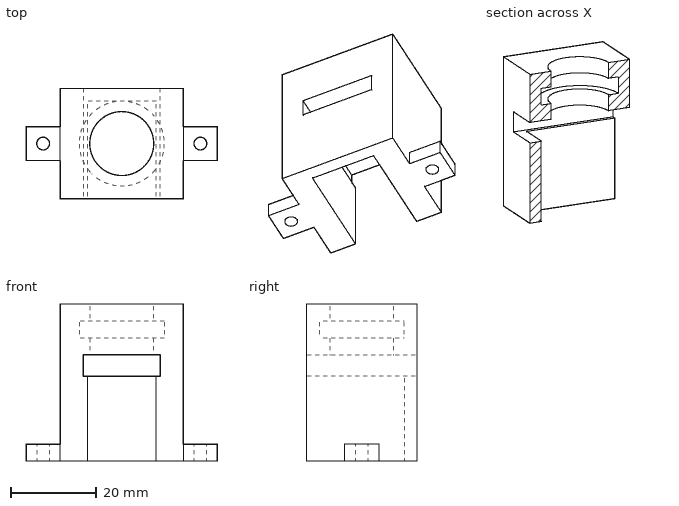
import cadquery as cq

body_width = 29.0
body_depth = 26.0
body_height = 37.0

tab_size = 8.0
tab_thickness = 4.0
tab_hole_diameter = 2.95

channel_width = 16.0
channel_height = 20.0
back_wall_thickness = 3.0

slot_width = 18.0
slot_height = 5.0
slot_top = channel_height + slot_height

bore_diameter = 15.0
chamber_diameter = 20.0
chamber_height = 4.0
layer_above_slot = 4.0
chamber_floor = slot_top + layer_above_slot


def standing_box(width, depth, height, x=0.0, y=0.0, z=0.0):
    """Box centred on (x, y) with its underside at z."""
    return cq.Workplane("XY", origin=(x, y, z)).box(width, depth, height, centered=(True, True, False))


def vertical_cylinder(diameter, height, x=0.0, y=0.0, z=0.0):
    """Cylinder about a vertical axis at (x, y) with its underside at z."""
    return cq.Workplane("XY", origin=(x, y, z)).circle(diameter / 2).extrude(height)


def mounting_tab(side):
    """Square tab with a screw hole; side is -1 or +1 along X."""
    centre_x = side * (body_width + tab_size) / 2
    tab = standing_box(tab_size, tab_size, tab_thickness, x=centre_x)
    return tab.cut(vertical_cylinder(tab_hole_diameter, tab_thickness, x=centre_x))


def channel():
    """Channel volume from the front face to the back wall."""
    depth = body_depth - back_wall_thickness
    return standing_box(channel_width, depth, channel_height, y=-back_wall_thickness / 2)


def slot():
    """Slot volume running through the full depth of the block."""
    return standing_box(slot_width, body_depth, slot_height, z=channel_height)


def stepped_bore():
    """Bore volume joined with its wider chamber."""
    bore = vertical_cylinder(bore_diameter, body_height - slot_top, z=slot_top)
    return bore.union(vertical_cylinder(chamber_diameter, chamber_height, z=chamber_floor))


body = standing_box(body_width, body_depth, body_height)
body = body.cut(channel()).cut(slot()).cut(stepped_bore())

for side in (-1, 1):
    body = body.union(mounting_tab(side))

result = body